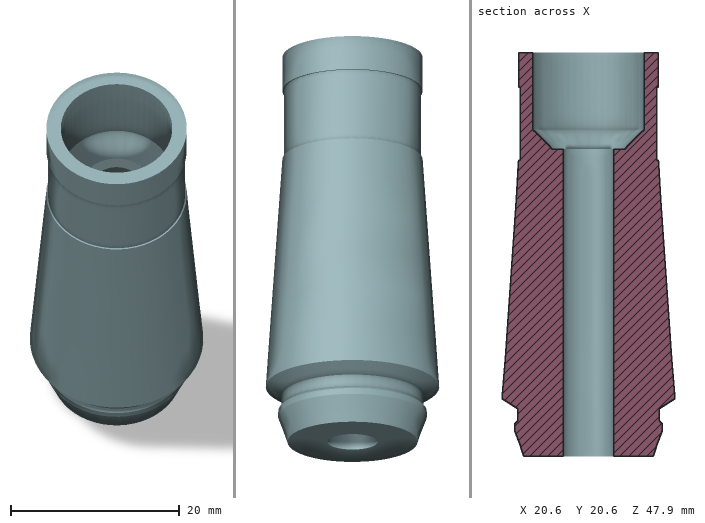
import cadquery as cq

length = 47.9
base_radius = 7.7
bead_radius = 8.8
groove_radius = 8.45
body_radius = 10.3
neck_radius = 8.15
collar_radius = 8.35

bead_bottom = 3.1
bead_top = 3.85
groove_bottom = 4.2
groove_top = 5.65
body_bottom = 6.85
body_top = 35.15
collar_height = 4.1

bore_radius = 6.6
funnel_end_radius = 4.25
outlet_radius = 2.95
bore_depth = 9.1
funnel_depth = bore_radius - funnel_end_radius
funnel_top = length - bore_depth
floor_height = funnel_top - funnel_depth

collar_bottom = length - collar_height
outer_profile = (
    cq.Workplane("XZ")
    .lineTo(base_radius, 0)
    .lineTo(bead_radius, bead_bottom)
    .lineTo(bead_radius, bead_top)
    .lineTo(groove_radius, groove_bottom)
    .lineTo(groove_radius, groove_top)
    .lineTo(body_radius, body_bottom)
    .lineTo(collar_radius, body_top)
    .lineTo(neck_radius, body_top)
    .lineTo(neck_radius, collar_bottom)
    .lineTo(collar_radius, collar_bottom)
    .lineTo(collar_radius, length)
    .lineTo(0, length)
    .close()
)
shell = outer_profile.revolve(360, (0, 0), (0, 1))

cavity_profile = (
    cq.Workplane("XZ")
    .lineTo(outlet_radius, 0)
    .lineTo(outlet_radius, floor_height)
    .lineTo(funnel_end_radius, floor_height)
    .lineTo(bore_radius, funnel_top)
    .lineTo(bore_radius, length)
    .lineTo(0, length)
    .close()
)
cavity = cavity_profile.revolve(360, (0, 0), (0, 1))

result = shell.cut(cavity)